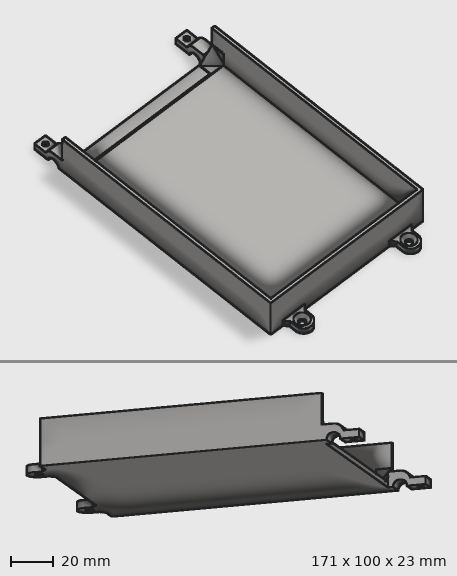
import cadquery as cq

length = 171.0
width = 100.0
height = 23.0

tray_start = 18.8
tray_end = 159.2
wall = 2.0
floor = 2.7

relief_depth = 0.5
relief_length = 7.9
lip_gap = 0.5
gusset_leg = 8.5
gusset_wall = wall - relief_depth
gusset_floor = floor - relief_depth

tab_thickness = 4.0
hook_width = 7.4
hook_tab_length = 7.5
hook_bend_radius = 5.1
hook_height = 7.7
hook_hole_diameter = 3.0
cable_center = 12.8
cable_radius = 3.5

ear_offset = 35.0
ear_radius = 5.0
ear_root_half_width = 7.4
ear_flare_length = 2.5
ear_hole_diameter = 4.0
ear_sink_diameter = 8.2
ear_hole_x = 165.0

mid_y = width / 2


def box(x0, x1, y0, y1, z0, z1):
    return cq.Workplane("XY").box(x1 - x0, y1 - y0, z1 - z0, centered=False).translate((x0, y0, z0))


def make_tray():
    """Tray open at the top and at its -X end, with a relieved strip and a lip at the opening."""
    tray = box(tray_start, tray_end, 0, width, 0, height)
    cavity = box(tray_start, tray_end - wall, wall, width - wall, floor, height)
    relief_end = tray_start + relief_length
    relief_top = gusset_floor + gusset_leg
    relief = box(
        tray_start, relief_end, gusset_wall, width - gusset_wall, gusset_floor, relief_top
    )
    inset = gusset_wall + gusset_leg
    lip = box(tray_start, relief_end - lip_gap, inset, width - inset, gusset_floor, floor)
    return tray.cut(cavity).cut(relief).union(lip)


def make_gusset():
    """Three-sided corner brace between the -Y wall and the floor at the open end."""
    corner = cq.Vector(tray_start, gusset_wall, gusset_floor)
    along_wall = corner + cq.Vector(gusset_leg, 0, 0)
    across_floor = corner + cq.Vector(0, gusset_leg, 0)
    peak = corner + cq.Vector(0, 0, gusset_leg)
    triangles = [
        (corner, along_wall, across_floor),
        (corner, along_wall, peak),
        (corner, across_floor, peak),
        (along_wall, across_floor, peak),
    ]
    faces = [cq.Face.makeFromWires(cq.Wire.makePolygon(t, close=True)) for t in triangles]
    return cq.Workplane(obj=cq.Solid.makeSolid(cq.Shell.makeShell(faces)))


def make_hook():
    """Screw tab and rounded bridge over a cable passage, at the -Y side."""
    bridge = box(hook_tab_length, tray_start, 0, hook_width, 0, hook_height)
    bridge = bridge.edges("|Y and <X and >Z").fillet(hook_bend_radius)
    tab = box(0, cable_center, 0, hook_width, 0, tab_thickness)
    passage = cq.Workplane("XZ").center(cable_center, 0).circle(cable_radius).extrude(-hook_width)
    screw_hole = (
        cq.Workplane("XY")
        .center(hook_tab_length / 2, hook_width / 2)
        .circle(hook_hole_diameter / 2)
        .extrude(tab_thickness)
    )
    return bridge.union(tab).cut(passage).cut(screw_hole)


def make_ear(y):
    """Round-ended ear with a flared root and a countersunk hole."""
    flare_end = tray_end + ear_flare_length
    arc_x = length - ear_radius
    ear = (
        cq.Workplane("XY")
        .moveTo(tray_end, y - ear_root_half_width)
        .lineTo(flare_end, y - ear_radius)
        .lineTo(arc_x, y - ear_radius)
        .threePointArc((length, y), (arc_x, y + ear_radius))
        .lineTo(flare_end, y + ear_radius)
        .lineTo(tray_end, y + ear_root_half_width)
        .close()
        .extrude(tab_thickness)
    )
    return (
        ear.faces(">Z")
        .workplane(origin=(ear_hole_x, y, tab_thickness))
        .cskHole(ear_hole_diameter, ear_sink_diameter, 90)
    )


result = make_tray()
for feature in (make_gusset(), make_hook()):
    mirrored = feature.mirror("XZ", (0, mid_y, 0))
    result = result.union(feature).union(mirrored)
for side in (-1, 1):
    result = result.union(make_ear(mid_y + side * ear_offset))